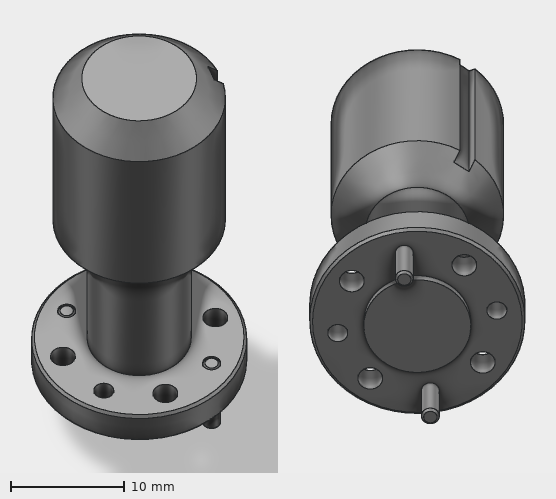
import cadquery as cq
import math

TOTAL_HEIGHT = 41.95
FLANGE_BOTTOM = 4.65
FLANGE_THICKNESS = 3.27
FLANGE_TOP = FLANGE_BOTTOM + FLANGE_THICKNESS
BOSS_HEIGHT = 0.75
HEAD_BOTTOM = 20.4

FLANGE_RADIUS = 9.53
FLANGE_CHAMFER = 0.25
BOSS_RADIUS = 4.75
STEM_RADIUS = 4.6
HEAD_RADIUS = 7.65
HEAD_TOP_CHAMFER = 2.55
HEAD_BOTTOM_CHAMFER = HEAD_RADIUS - STEM_RADIUS

SLOT_WIDTH = 1.65
SLOT_FLOOR_RADIUS = 6.7

HOLE_CIRCLE_RADIUS = 7.15
BOLT_HOLE_DIAMETER = 2.2
DOWEL_HOLE_DIAMETER = 1.75
BOLT_ANGLES = (0, 90, 180, 270)
DOWEL_HOLE_ANGLES = (135, 315)
PIN_ANGLES = (45, 225)

PIN_DIAMETER = 1.6
PIN_CHAMFER = 0.2


def circle_point(angle):
    """Point on the hole circle at an angle in degrees from +X."""
    radians = math.radians(angle)
    return HOLE_CIRCLE_RADIUS * math.cos(radians), HOLE_CIRCLE_RADIUS * math.sin(radians)


def disc(radius, bottom, top):
    return cq.Workplane("XY").workplane(offset=bottom).circle(radius).extrude(top - bottom)


def flange_holes(angles, diameter):
    """Cylinders that cut through the flange at the given angles."""
    return (
        cq.Workplane("XY")
        .workplane(offset=FLANGE_BOTTOM)
        .pushPoints([circle_point(angle) for angle in angles])
        .circle(diameter / 2)
        .extrude(FLANGE_THICKNESS)
    )


def make_flange():
    flange = disc(FLANGE_RADIUS, FLANGE_BOTTOM, FLANGE_TOP).edges().chamfer(FLANGE_CHAMFER)
    boss = disc(BOSS_RADIUS, FLANGE_BOTTOM - BOSS_HEIGHT, FLANGE_BOTTOM)
    return (
        flange.union(boss)
        .cut(flange_holes(BOLT_ANGLES, BOLT_HOLE_DIAMETER))
        .cut(flange_holes(DOWEL_HOLE_ANGLES, DOWEL_HOLE_DIAMETER))
        .cut(flange_holes(PIN_ANGLES, PIN_DIAMETER))
    )


def make_head():
    head = (
        disc(HEAD_RADIUS, HEAD_BOTTOM, TOTAL_HEIGHT)
        .faces(">Z").edges().chamfer(HEAD_TOP_CHAMFER)
        .faces("<Z").edges().chamfer(HEAD_BOTTOM_CHAMFER)
    )
    slot = (
        cq.Workplane("XY")
        .box(SLOT_WIDTH, HEAD_RADIUS, TOTAL_HEIGHT - HEAD_BOTTOM, centered=(True, False, False))
        .translate((0, SLOT_FLOOR_RADIUS, HEAD_BOTTOM))
    )
    return head.cut(slot)


def make_load_body():
    """Flange, stem and slotted head in one piece."""
    stem = disc(STEM_RADIUS, FLANGE_TOP, HEAD_BOTTOM)
    return make_flange().union(stem).union(make_head())


def make_dowel_pin(angle):
    x, y = circle_point(angle)
    pin = disc(PIN_DIAMETER / 2, 0, FLANGE_TOP).edges().chamfer(PIN_CHAMFER)
    return pin.translate((x, y, 0))


load_body = make_load_body()
dowel_pins = [make_dowel_pin(angle) for angle in PIN_ANGLES]

result = cq.Compound.makeCompound([load_body.val(), *[pin.val() for pin in dowel_pins]])